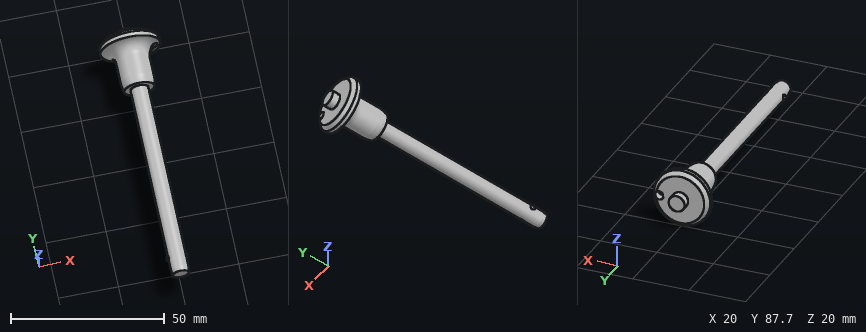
import cadquery as cq
import math

total_length = 87.7
button_end = total_length / 2
tip_end = -total_length / 2

button_radius = 2.8
button_height = 3.0

rim_radius = 10.0
rim_chamfer = 1.5
rim_height = 3.2
body_radius = 5.6
flare_radius = rim_radius - body_radius
handle_length = 17.7
nose_taper_length = 2.9
nose_shoulder_length = 1.4
nose_shoulder_radius = 5.4
nose_radius = 5.1

shaft_radius = 3.0
tip_radius = 2.7
tip_taper_length = 1.7

ball_radius = 1.0
ball_reach = 3.6
ball_from_tip = 6.1

hole_radius = 1.5
hole_offset = 7.5

handle_top = button_end - button_height
rim_bottom = handle_top - rim_height
flare_bottom = rim_bottom - flare_radius
handle_bottom = handle_top - handle_length


def make_pin():
    """Revolve the half profile of button, handle and shaft about Y."""
    flare_diagonal = flare_radius * math.sqrt(0.5)
    flare_middle = (rim_radius - flare_diagonal, flare_bottom + flare_diagonal)
    return (
        cq.Workplane("XY")
        .moveTo(0, button_end)
        .lineTo(button_radius, button_end)
        .lineTo(button_radius, handle_top)
        .lineTo(rim_radius - rim_chamfer, handle_top)
        .lineTo(rim_radius, handle_top - rim_chamfer)
        .lineTo(rim_radius, rim_bottom)
        .threePointArc(flare_middle, (body_radius, flare_bottom))
        .lineTo(body_radius, handle_bottom + nose_taper_length)
        .lineTo(nose_shoulder_radius, handle_bottom + nose_shoulder_length)
        .lineTo(nose_radius, handle_bottom)
        .lineTo(shaft_radius, handle_bottom)
        .lineTo(shaft_radius, tip_end + tip_taper_length)
        .lineTo(tip_radius, tip_end)
        .lineTo(0, tip_end)
        .close()
        .revolve(360, (0, 0, 0), (0, 1, 0))
    )


def make_ball(side):
    """Locking ball partly sunk in the shaft on the given side (+1 or -1) of X."""
    ball_x = side * (ball_reach - ball_radius)
    return cq.Workplane("XY").sphere(ball_radius).translate((ball_x, tip_end + ball_from_tip, 0))


def make_lanyard_hole():
    """Cutter through the rim and flare, parallel to the pin axis."""
    return (
        cq.Workplane("XZ", origin=(hole_offset, handle_top, 0))
        .circle(hole_radius)
        .extrude(handle_length)
    )


result = make_pin().cut(make_lanyard_hole())
for ball_side in (-1, 1):
    result = result.union(make_ball(ball_side))